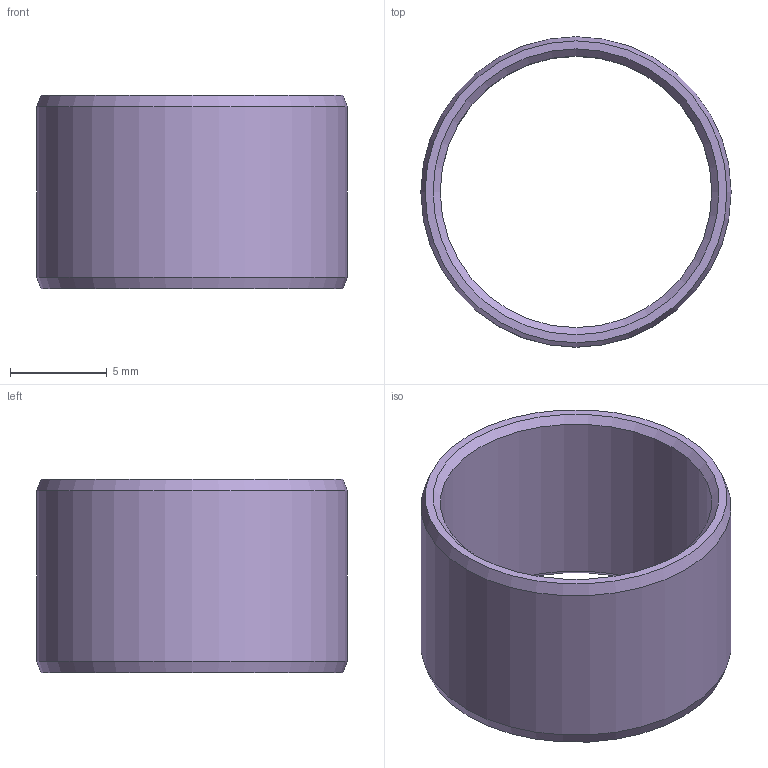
import cadquery as cq
import math

OUTER_DIAMETER = 16.0
BORE_DIAMETER = 14.0
LENGTH = 10.0

OUTER_CHAMFER_LENGTH = 0.6
OUTER_CHAMFER_ANGLE = 20.0
BORE_CHAMFER = 0.37

outer_radius = OUTER_DIAMETER / 2
bore_radius = BORE_DIAMETER / 2
half_length = LENGTH / 2

outer_chamfer_depth = OUTER_CHAMFER_LENGTH * math.tan(math.radians(OUTER_CHAMFER_ANGLE))
end_face_outer_radius = outer_radius - outer_chamfer_depth
end_face_inner_radius = bore_radius + BORE_CHAMFER
outer_wall_top = half_length - OUTER_CHAMFER_LENGTH
bore_wall_top = half_length - BORE_CHAMFER


def wall_section():
    """Closed half section of the ring wall, with X as radius and Z as height."""
    return (
        cq.Workplane("XZ")
        .moveTo(bore_radius, -bore_wall_top)
        .lineTo(end_face_inner_radius, -half_length)
        .lineTo(end_face_outer_radius, -half_length)
        .lineTo(outer_radius, -outer_wall_top)
        .lineTo(outer_radius, outer_wall_top)
        .lineTo(end_face_outer_radius, half_length)
        .lineTo(end_face_inner_radius, half_length)
        .lineTo(bore_radius, bore_wall_top)
        .close()
    )


result = wall_section().revolve(360, (0, 0, 0), (0, 1, 0))